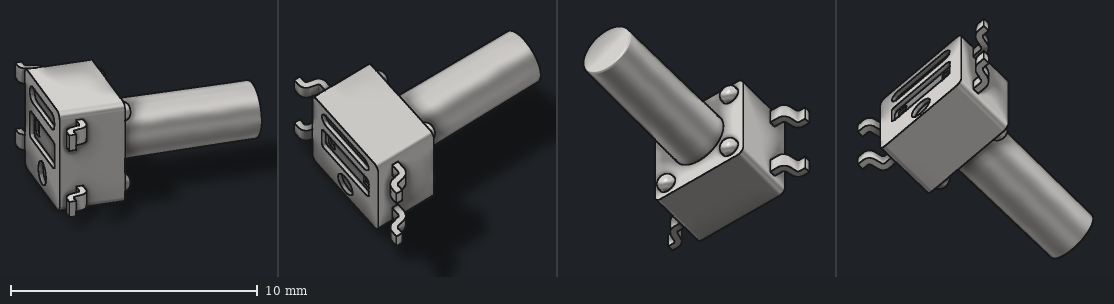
import cadquery as cq
import math


body_size = 4.5
body_depth = 2.8
body_corner_radius = 0.3

total_length = 9.0
plunger_base_radius = 1.25
plunger_tip_radius = 1.21
plunger_edge_fillet = 0.1

rivet_radius = 0.4
rivet_height = 0.4
rivet_fillet = 0.3
rivet_offset = 1.6

lead_span = 7.0
lead_width = 0.7
lead_thickness = 0.3
lead_offset = 1.5
lead_top = 1.0
lead_embed = 0.3
bend_inner_radius = 0.1
bend_outer_radius = bend_inner_radius + lead_thickness
upper_bend_x = 2.655
lower_bend_x = 3.21

recess_depth = 0.2
slot_length = 3.2
slot_width = 0.7
slot_offset = 1.45
panel_length = 3.24
panel_width = 1.2
panel_corner_radius = 0.2
dimple_diameter = 1.0
dimple_offset = -1.5

window_depth = 0.1
window_inner_x = 1.0
window_outer_x = 1.41
window_width = 0.74
window_corner_radius = 0.15


def face_plane(y, z=0.0):
    """Sketch plane at depth y and height z: local x is -X, local y is Z, normal is +Y."""
    return cq.Workplane(cq.Plane(origin=(0, y, z), xDir=(-1, 0, 0), normal=(0, 1, 0)))


def make_body():
    block = face_plane(0).rect(body_size, body_size).extrude(body_depth)
    return block.edges("|Y").fillet(body_corner_radius)


def make_plunger():
    """Slightly tapered round post with a softened tip edge."""
    post = (
        face_plane(body_depth)
        .circle(plunger_base_radius)
        .workplane(offset=total_length - body_depth)
        .circle(plunger_tip_radius)
        .loft()
    )
    return post.faces(">Y").edges().fillet(plunger_edge_fillet)


def make_rivets():
    spacing = 2 * rivet_offset
    heads = face_plane(body_depth).rarray(spacing, spacing, 2, 2).circle(rivet_radius).extrude(rivet_height)
    return heads.faces(">Y").edges().fillet(rivet_fillet)


def make_right_lead(z):
    """S-bent strip on the +X side, running from inside the housing down to its foot at Y = 0."""
    upper_bend_y = lead_top - bend_outer_radius
    lower_bend_y = bend_outer_radius
    run = lower_bend_x - upper_bend_x
    drop = upper_bend_y - lower_bend_y
    center_distance = math.hypot(run, drop)
    radius_sum = bend_outer_radius + bend_inner_radius
    tangent_angle = math.acos(radius_sum / center_distance) - math.atan2(drop, run)

    def upper_point(radius, angle):
        return upper_bend_x + radius * math.cos(angle), upper_bend_y + radius * math.sin(angle)

    def lower_point(radius, angle):
        return lower_bend_x - radius * math.cos(angle), lower_bend_y - radius * math.sin(angle)

    square = math.pi / 2
    middle = (square + tangent_angle) / 2
    root_x = body_size / 2 - lead_embed
    foot_x = lead_span / 2
    profile = (
        cq.Workplane("XY", origin=(0, 0, z - lead_width / 2))
        .moveTo(root_x, lead_top)
        .lineTo(*upper_point(bend_outer_radius, square))
        .threePointArc(
            upper_point(bend_outer_radius, middle),
            upper_point(bend_outer_radius, tangent_angle),
        )
        .lineTo(*lower_point(bend_inner_radius, tangent_angle))
        .threePointArc(
            lower_point(bend_inner_radius, middle),
            lower_point(bend_inner_radius, square),
        )
        .lineTo(foot_x, lead_thickness)
        .lineTo(foot_x, 0)
        .lineTo(*lower_point(bend_outer_radius, square))
        .threePointArc(
            lower_point(bend_outer_radius, middle),
            lower_point(bend_outer_radius, tangent_angle),
        )
        .lineTo(*upper_point(bend_inner_radius, tangent_angle))
        .threePointArc(
            upper_point(bend_inner_radius, middle),
            upper_point(bend_inner_radius, square),
        )
        .lineTo(root_x, lead_top - lead_thickness)
        .close()
    )
    return profile.extrude(lead_width)


def make_window():
    """Opening on the +X side whose two outer corners are rounded."""
    length = window_outer_x - window_inner_x
    center_x = (window_inner_x + window_outer_x) / 2
    window = face_plane(recess_depth).rect(length, window_width).extrude(window_depth)
    return window.edges("|Y and >X").fillet(window_corner_radius).translate((center_x, 0, 0))


def make_recesses():
    slot = face_plane(0, slot_offset).slot2D(slot_length, slot_width).extrude(recess_depth)
    panel = face_plane(0).rect(panel_length, panel_width).extrude(recess_depth)
    panel = panel.edges("|Y").fillet(panel_corner_radius)
    dimple = face_plane(0, dimple_offset).circle(dimple_diameter / 2).extrude(recess_depth)
    window = make_window()
    return [slot, panel, dimple, window, window.mirror("YZ")]


result = make_body().union(make_plunger()).union(make_rivets())

for lead_z in (-lead_offset, lead_offset):
    lead = make_right_lead(lead_z)
    result = result.union(lead).union(lead.mirror("YZ"))

for recess in make_recesses():
    result = result.cut(recess)